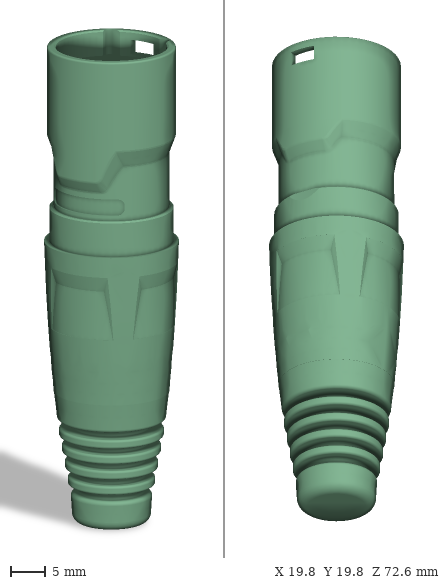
import cadquery as cq
import math

TOTAL_LENGTH = 72.6

SLEEVE_DIAMETER = 18.95
SLEEVE_RADIUS = SLEEVE_DIAMETER / 2
SLEEVE_BOTTOM = 59.0
SLEEVE_RAMP_END = 56.4
RIM_FILLET = 0.3
NECK_RADIUS = 8.5

SOCKET_RADIUS = 8.2
SOCKET_FLOOR = 68.75
SOCKET_CHAMFER = 0.2
KEYWAY_WIDTH = 11.2
KEYWAY_REACH = 7.4
KEYWAY_FILLET = 0.7
WINDOW_WIDTH = 4.1
WINDOW_BOTTOM = 69.1
WINDOW_TOP = 71.3

FRONT_LUG_BOTTOM = 54.15
BACK_LUG_BOTTOM = 55.9
LUG_RAMP_HEIGHT = 1.75
LUG_WIDTH_DEPTH = 8.35
LUG_HALF_WIDTH_TOP = 5.3
LUG_HALF_WIDTH_TIP = 4.0
LUG_FLANK_ANGLE = 32.0
LUG_CORNER_FILLET = 1.8
SLEEVE_EDGE_FILLET = 0.7
NECK_EDGE_FILLET = 0.6

PLATE_WIDTH = 12.5
PLATE_HEIGHT = 2.5
PLATE_MID_Z = 50.25
PLATE_DEPTH = 0.3
PLATE_CORNER_FILLET = 0.9

RING_RADIUS = 9.15
RING_CHAMFER = 0.2
RING_BEVEL_BOTTOM = 46.6
RING_BEVEL_DEPTH = 0.4
RING_TOP = 48.2

GRIP_TOP = 42.9
GRIP_DIAMETER_TOP = 19.8
GRIP_RADIUS_TOP = GRIP_DIAMETER_TOP / 2
GRIP_DIAMETER_MID = 18.65
GRIP_RADIUS_MID = GRIP_DIAMETER_MID / 2
GRIP_MID_Z = 30.2
GRIP_DIAMETER_BOTTOM = 17.05
GRIP_RADIUS_BOTTOM = GRIP_DIAMETER_BOTTOM / 2
GRIP_BOTTOM = 20.05

DENT_COUNT = 4
DENT_FLOOR_DIAMETER = 18.5
DENT_FLOOR_RADIUS = DENT_FLOOR_DIAMETER / 2
DENT_RAMP_BOTTOM = 37.6
DENT_RAMP_TOP = 39.85
DENT_RAMP_RADIUS = 9.8
DENT_FLANK_DEPTH_LOW = 7.55
DENT_FLANK_DEPTH_HIGH = 8.4

NUT_RADIUS_TOP = 8.5
NUT_RADIUS_BOTTOM = 8.0
NUT_BOTTOM = 15.7
NUT_FILLET = 0.5

RIB_COUNT = 4
RIB_PITCH = 2.5
RIB_THICKNESS = 1.3
RIB_TOP = 14.45
RIB_DIAMETER = 15.5
RIB_RADIUS = RIB_DIAMETER / 2
RIB_RADIUS_STEP = 0.4
RIB_FILLET = 0.35
BOOT_NECK_RADIUS = 5.3
BOOT_NECK_STEP = 0.18
BOOT_COVE = 0.35
CAP_RADIUS_TOP = 6.0
CAP_RADIUS_BOTTOM = 5.7
CAP_TOP_FILLET = 0.6
CAP_BOTTOM_FILLET = 1.45
CAP_TOP = RIB_TOP - RIB_COUNT * RIB_PITCH

OVERLAP = 0.7
REACH = 2 * GRIP_RADIUS_TOP

TIP_EDGE_MARGIN = 0.2
EDGE_TOLERANCE = 0.035


def frustum(radius_low, z_low, radius_high, z_high):
    """Solid cone frustum or cylinder on the Z axis."""
    points = [(0, z_low), (radius_low, z_low), (radius_high, z_high), (0, z_high)]
    return cq.Workplane("XZ").polyline(points).close().revolve(360, (0, 0), (0, 1))


def make_lug(lug_bottom):
    """Tongue on the -Y side: sleeve wall above a cone ramp, trimmed by two sloping flanks."""
    ramp_end = lug_bottom - LUG_RAMP_HEIGHT
    wall = frustum(NECK_RADIUS, ramp_end, SLEEVE_RADIUS, lug_bottom)
    wall = wall.union(frustum(SLEEVE_RADIUS, lug_bottom, SLEEVE_RADIUS, SLEEVE_BOTTOM))

    side_slope = (LUG_HALF_WIDTH_TOP - LUG_HALF_WIDTH_TIP) / (SLEEVE_BOTTOM - lug_bottom)
    z_low = ramp_end - OVERLAP
    z_high = SLEEVE_BOTTOM

    def half_width(depth, z):
        """Half the lug width at a height z, this far out along -Y."""
        widening = (LUG_WIDTH_DEPTH - depth) * math.tan(math.radians(LUG_FLANK_ANGLE))
        return LUG_HALF_WIDTH_TIP + side_slope * (z - lug_bottom) + widening

    def outline(depth):
        """Trapezoid across the lug in the plane y = -depth."""
        low = half_width(depth, z_low)
        high = half_width(depth, z_high)
        points = [(-low, z_low), (low, z_low), (high, z_high), (-high, z_high)]
        plane = cq.Workplane("XZ", origin=(0, -depth, 0))
        return plane.polyline(points).close().wires().val()

    inner_depth = NECK_RADIUS / 2
    outer_depth = SLEEVE_RADIUS + OVERLAP / 2
    wedge = cq.Workplane(cq.Solid.makeLoft([outline(inner_depth), outline(outer_depth)], True))
    lug = wall.intersect(wedge)

    tip_corners = cq.selectors.BoxSelector(
        (-REACH, -SLEEVE_RADIUS, ramp_end + TIP_EDGE_MARGIN),
        (REACH, -inner_depth - TIP_EDGE_MARGIN, lug_bottom - TIP_EDGE_MARGIN),
    )
    return lug.edges(tip_corners).fillet(LUG_CORNER_FILLET)


def edges_at_radius(body, radius):
    """Edges around the sleeve and lug bottoms that lie on a cylinder of the given radius."""
    chosen = []
    for edge in body.edges().vals():
        middle = edge.positionAt(0.5)
        on_cylinder = abs(math.hypot(middle.x, middle.y) - radius) < EDGE_TOLERANCE
        in_band = FRONT_LUG_BOTTOM - LUG_RAMP_HEIGHT - OVERLAP < middle.z < SLEEVE_BOTTOM + OVERLAP
        if on_cylinder and in_band and edge.geomType() != "LINE":
            chosen.append(edge)
    return body.newObject(chosen)


def make_sleeve():
    """Bell sleeve with its conical end, the neck and both lugs, blended together."""
    sleeve = frustum(SLEEVE_RADIUS, SLEEVE_BOTTOM, SLEEVE_RADIUS, TOTAL_LENGTH)
    sleeve = sleeve.faces(">Z").edges().fillet(RIM_FILLET)
    ramp = frustum(NECK_RADIUS, SLEEVE_RAMP_END, SLEEVE_RADIUS, SLEEVE_BOTTOM)
    neck = frustum(NECK_RADIUS, RING_TOP - OVERLAP, NECK_RADIUS, SLEEVE_BOTTOM)
    front_lug = make_lug(FRONT_LUG_BOTTOM)
    back_lug = make_lug(BACK_LUG_BOTTOM).rotate((0, 0, 0), (0, 0, 1), 180)
    body = sleeve.union(ramp).union(neck).union(front_lug).union(back_lug).clean()
    body = edges_at_radius(body, SLEEVE_RADIUS).fillet(SLEEVE_EDGE_FILLET)
    body = edges_at_radius(body, NECK_RADIUS).fillet(NECK_EDGE_FILLET)
    return body


def make_socket():
    """Cavity of the open end: round bore, keyway corners and side window."""
    bore = frustum(SOCKET_RADIUS, SOCKET_FLOOR, SOCKET_RADIUS, TOTAL_LENGTH)
    mouth_radius = SOCKET_RADIUS + SOCKET_CHAMFER
    mouth = frustum(SOCKET_RADIUS, TOTAL_LENGTH - SOCKET_CHAMFER, mouth_radius, TOTAL_LENGTH)
    keyways = (
        cq.Workplane("XY", origin=(0, KEYWAY_REACH / 2, SOCKET_FLOOR))
        .rect(KEYWAY_WIDTH, KEYWAY_REACH)
        .extrude(TOTAL_LENGTH - SOCKET_FLOOR)
        .edges("|Z")
        .edges(">Y")
        .fillet(KEYWAY_FILLET)
    )
    window = (
        cq.Workplane("XY", origin=(0, REACH / 2, WINDOW_BOTTOM))
        .rect(WINDOW_WIDTH, REACH)
        .extrude(WINDOW_TOP - WINDOW_BOTTOM)
    )
    return bore.union(mouth).union(keyways).union(window)


def make_plate_recess():
    """Shallow rounded slot that follows the neck surface."""
    floor_radius = NECK_RADIUS - PLATE_DEPTH
    slot = (
        cq.Workplane("XZ", origin=(0, 0, PLATE_MID_Z))
        .rect(PLATE_WIDTH, PLATE_HEIGHT)
        .extrude(REACH)
        .edges("|Y")
        .fillet(PLATE_CORNER_FILLET)
    )
    return slot.cut(frustum(floor_radius, RING_TOP, floor_radius, SLEEVE_BOTTOM))


def make_ring():
    """Collar with a flat sloping bevel on the +Y side of its upper edge."""
    ring = frustum(RING_RADIUS, GRIP_TOP - OVERLAP, RING_RADIUS, RING_TOP)
    ring = ring.faces(">Z").edges().chamfer(RING_CHAMFER)
    bevel_points = [
        (RING_RADIUS, RING_BEVEL_BOTTOM),
        (RING_RADIUS - RING_BEVEL_DEPTH, RING_TOP),
        (RING_RADIUS, RING_TOP),
    ]
    bevel = cq.Workplane("YZ").polyline(bevel_points).close().extrude(RING_RADIUS, both=True)
    return ring.cut(bevel)


def make_grip():
    """Barrel-shaped grip with evenly spaced finger dents."""
    grip = (
        cq.Workplane("XZ")
        .moveTo(0, GRIP_BOTTOM)
        .lineTo(GRIP_RADIUS_BOTTOM, GRIP_BOTTOM)
        .threePointArc((GRIP_RADIUS_MID, GRIP_MID_Z), (GRIP_RADIUS_TOP, GRIP_TOP))
        .lineTo(0, GRIP_TOP)
        .close()
        .revolve(360, (0, 0), (0, 1))
    )
    dent = make_dent()
    for index in range(DENT_COUNT):
        grip = grip.cut(dent.rotate((0, 0, 0), (0, 0, 1), index * 360 / DENT_COUNT))
    return grip


def make_dent():
    """Cutter on the -Y side with a round floor, a cone ramp on top and flat flanks."""
    band = frustum(REACH, GRIP_MID_Z, REACH, DENT_RAMP_TOP)
    core = frustum(DENT_FLOOR_RADIUS, GRIP_MID_Z, DENT_FLOOR_RADIUS, DENT_RAMP_BOTTOM)
    ramp = frustum(DENT_FLOOR_RADIUS, DENT_RAMP_BOTTOM, DENT_RAMP_RADIUS, DENT_RAMP_TOP)
    flank_points = [
        (-DENT_FLANK_DEPTH_LOW, GRIP_MID_Z),
        (-DENT_FLANK_DEPTH_HIGH, DENT_RAMP_TOP),
        (-REACH, DENT_RAMP_TOP),
        (-REACH, GRIP_MID_Z),
    ]
    flank = cq.Workplane("YZ").polyline(flank_points).close().extrude(REACH, both=True)
    return band.cut(core).cut(ramp).intersect(flank)


def make_nut():
    """Tapered nut with a rounded lower edge."""
    nut = frustum(NUT_RADIUS_BOTTOM, NUT_BOTTOM, NUT_RADIUS_TOP, GRIP_BOTTOM)
    return nut.faces("<Z").edges().fillet(NUT_FILLET)


def make_boot():
    """Rounded end cap with a stack of shrinking ribs and necks up to the nut."""
    cap = frustum(CAP_RADIUS_BOTTOM, 0, CAP_RADIUS_TOP, CAP_TOP)
    cap = cap.faces("<Z").edges().fillet(CAP_BOTTOM_FILLET)
    boot = cap.faces(">Z").edges().fillet(CAP_TOP_FILLET)
    space_top = NUT_BOTTOM
    for index in range(RIB_COUNT + 1):
        space_bottom = RIB_TOP - index * RIB_PITCH
        neck_radius = BOOT_NECK_RADIUS - index * BOOT_NECK_STEP
        boot = boot.union(make_boot_neck(neck_radius, space_bottom, space_top))
        if index < RIB_COUNT:
            rib_radius = RIB_RADIUS - index * RIB_RADIUS_STEP
            space_top = space_bottom - RIB_THICKNESS
            rib = frustum(rib_radius, space_top, rib_radius, space_bottom)
            boot = boot.union(rib.edges().fillet(RIB_FILLET))
    return boot


def make_boot_neck(radius, z_low, z_high):
    """Neck between two ribs, flaring into both with a quarter-round cove."""
    flare = radius + BOOT_COVE
    bend = BOOT_COVE * (1 - math.sqrt(0.5))
    return (
        cq.Workplane("XZ")
        .moveTo(0, z_low)
        .lineTo(flare, z_low)
        .threePointArc((radius + bend, z_low + bend), (radius, z_low + BOOT_COVE))
        .lineTo(radius, z_high - BOOT_COVE)
        .threePointArc((radius + bend, z_high - bend), (flare, z_high))
        .lineTo(0, z_high)
        .close()
        .revolve(360, (0, 0), (0, 1))
    )


result = make_sleeve().cut(make_socket()).cut(make_plate_recess())
for part in (make_ring(), make_grip(), make_nut(), make_boot()):
    result = result.union(part)